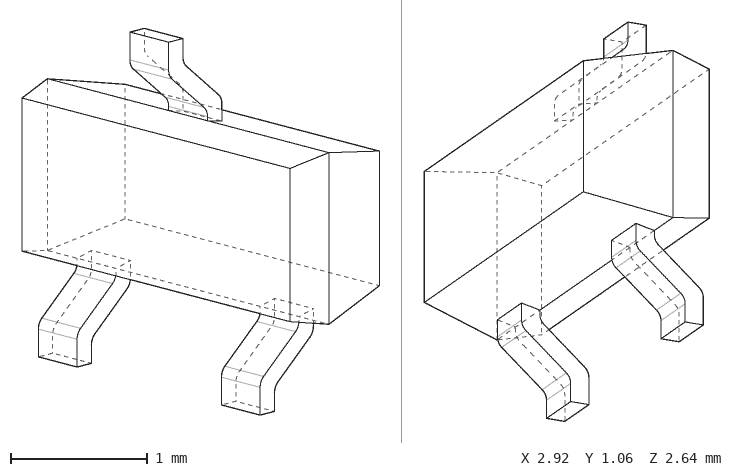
import cadquery as cq
import math

HOUSING_LENGTH = 2.92
HOUSING_HEIGHT = 1.3
BACK_DEPTH = 0.66
FRONT_DEPTH = 0.33
DRAFT_ANGLE = 12.0

OVERALL_HEIGHT = 2.64
LEAD_WIDTH = 0.403
LEAD_THICKNESS = 0.15
LEAD_PITCH = 1.898
LEAD_OFFSET = 0.4
FOOT_LENGTH = 0.257
BEND_ANGLE = 50.0
BEND_RADIUS = 0.1


def make_housing_half(depth, direction):
    """Drafted block growing from the parting plane along Y in the given direction."""
    parting_plane = cq.Plane(origin=(0, 0, 0), xDir=(1, 0, 0), normal=(0, direction, 0))
    return (
        cq.Workplane(parting_plane)
        .rect(HOUSING_LENGTH, HOUSING_HEIGHT)
        .extrude(depth, taper=DRAFT_ANGLE)
    )


def make_housing():
    back = make_housing_half(BACK_DEPTH, 1)
    front = make_housing_half(FRONT_DEPTH, -1)
    return back.union(front).solids()


def make_upper_lead(housing):
    """Lead centred on X = 0, rising from the top of the housing and ending on its drafted face."""
    tip_z = OVERALL_HEIGHT / 2
    front_foot_z = tip_z - FOOT_LENGTH
    front_root_z = front_foot_z - LEAD_OFFSET / math.tan(math.radians(BEND_ANGLE))
    corner_shift = LEAD_THICKNESS * math.tan(math.radians(BEND_ANGLE / 2))
    start_z = HOUSING_HEIGHT / 2 - LEAD_THICKNESS * math.tan(math.radians(DRAFT_ANGLE))

    strip = (
        cq.Workplane("YZ")
        .moveTo(0, start_z)
        .lineTo(0, front_root_z)
        .lineTo(-LEAD_OFFSET, front_foot_z)
        .lineTo(-LEAD_OFFSET, tip_z)
        .lineTo(LEAD_THICKNESS - LEAD_OFFSET, tip_z)
        .lineTo(LEAD_THICKNESS - LEAD_OFFSET, front_foot_z + corner_shift)
        .lineTo(LEAD_THICKNESS, front_root_z + corner_shift)
        .lineTo(LEAD_THICKNESS, start_z)
        .close()
        .extrude(LEAD_WIDTH / 2, both=True)
    )
    bend_edges = strip.edges("|X").edges(
        cq.selectors.BoxSelector(
            (-LEAD_WIDTH, -2 * LEAD_OFFSET, HOUSING_HEIGHT / 2),
            (LEAD_WIDTH, 2 * LEAD_OFFSET, tip_z - BEND_RADIUS),
        )
    )
    return bend_edges.fillet(BEND_RADIUS).cut(housing).solids()


def make_leads(housing):
    """One lead centred on the top side and two mirrored leads on the bottom side."""
    upper_lead = make_upper_lead(housing)
    lower_lead = upper_lead.mirror("XY").solids()
    leads = [upper_lead.val()]
    for side in (-1, 1):
        leads.append(lower_lead.translate((side * LEAD_PITCH / 2, 0, 0)).val())
    return leads


housing = make_housing()
leads = make_leads(housing)

result = cq.Compound.makeCompound([housing.val(), *leads])